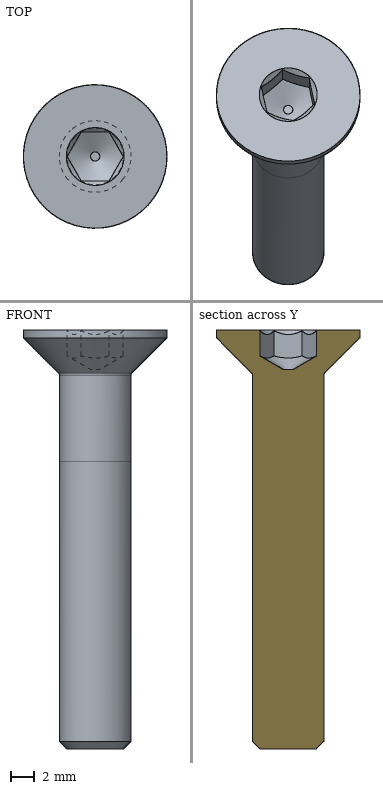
import cadquery as cq
import math

total_length = 35.0
head_diameter = 12.0
shank_diameter = 6.0
rim_height = 0.65
underhead_fillet = 0.3
thread_length = 24.0
tip_chamfer = 0.63

socket_across_flats = 4.05
socket_mouth_diameter = 4.83
socket_mouth_slope = 45.0
socket_corner_depth = 2.17
socket_bottom_slope = 30.0
socket_bottom_flat_diameter = 0.77

head_radius = head_diameter / 2
shank_radius = shank_diameter / 2
rim_bottom = total_length - rim_height
cone_bottom = rim_bottom - (head_radius - shank_radius)


def make_body():
    """Head and shank; the thread region is a separate face of the shank."""
    tangent_length = underhead_fillet * math.tan(math.radians(45 / 2))
    cone_offset = tangent_length * math.cos(math.radians(45))
    return (
        cq.Workplane("XZ")
        .lineTo(shank_radius - tip_chamfer, 0)
        .lineTo(shank_radius, tip_chamfer)
        .lineTo(shank_radius, thread_length)
        .lineTo(shank_radius, cone_bottom - tangent_length)
        .tangentArcPoint((shank_radius + cone_offset, cone_bottom + cone_offset), relative=False)
        .lineTo(head_radius, rim_bottom)
        .lineTo(head_radius, total_length)
        .lineTo(0, total_length)
        .close()
        .revolve(360, (0, 0), (0, 1), clean=False)
    )


def make_socket():
    """Hexagonal recess with a conical bottom and a conical mouth."""
    corner_radius = socket_across_flats / math.sqrt(3)
    mouth_radius = socket_mouth_diameter / 2
    flat_radius = socket_bottom_flat_diameter / 2
    corner_z = total_length - socket_corner_depth
    cone_drop = (corner_radius - flat_radius) * math.tan(math.radians(socket_bottom_slope))
    mouth_depth = mouth_radius * math.tan(math.radians(socket_mouth_slope))

    hexagon = (
        cq.Workplane("XY", origin=(0, 0, corner_z - cone_drop))
        .polygon(6, 2 * corner_radius)
        .extrude(socket_corner_depth + cone_drop)
    )
    envelope = (
        cq.Workplane("XZ", origin=(0, 0, corner_z))
        .moveTo(0, -cone_drop)
        .lineTo(flat_radius, -cone_drop)
        .lineTo(corner_radius, 0)
        .lineTo(corner_radius, socket_corner_depth)
        .lineTo(0, socket_corner_depth)
        .close()
        .revolve(360, (0, 0), (0, 1))
    )
    mouth = (
        cq.Workplane("XZ", origin=(0, 0, total_length))
        .lineTo(mouth_radius, 0)
        .lineTo(0, -mouth_depth)
        .close()
        .revolve(360, (0, 0), (0, 1))
    )
    return hexagon.intersect(envelope).union(mouth)


result = make_body().cut(make_socket(), clean=False)